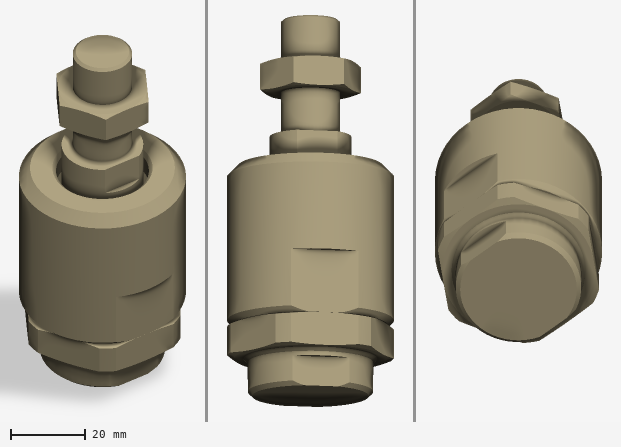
import cadquery as cq
import math


NUT_BEVEL_SLOPE = math.tan(math.radians(15))

SOCKET_LOWER_DIA = 33.8
THREAD_DIA = 36
SOCKET_BOTTOM_CHAMFER = 1.2
SOCKET_LOWER_HEIGHT = 9.2
SOCKET_FLATS_WIDTH = 30
SOCKET_FLATS_HEIGHT = 8

LOCK_NUT_BOTTOM = 10.2
LOCK_NUT_HEIGHT = 9
LOCK_NUT_WIDTH = 41
LOCK_NUT_CORNER_DIA = 45

HOUSING_DIA = LOCK_NUT_CORNER_DIA
HOUSING_BOTTOM = LOCK_NUT_BOTTOM + LOCK_NUT_HEIGHT
HOUSING_TOP = 63
HOUSING_TOP_CHAMFER = 3
HOUSING_BOTTOM_CHAMFER = 1.5
HOUSING_FLATS_WIDTH = LOCK_NUT_WIDTH
HOUSING_FLATS_TOP = 36.2
OPENING_DIA = 25
OPENING_CHAMFER = 1

FLANGE_DIA = 32
FLANGE_TOP = 57
FLANGE_THICKNESS = 8
FLANGE_BOTTOM = FLANGE_TOP - FLANGE_THICKNESS
COLLAR_DIA = 22
COLLAR_TOP = 71
COLLAR_FLATS_WIDTH = 19
COLLAR_FLATS_BOTTOM = HOUSING_TOP
SHANK_DIA = 16
SHANK_TOP = 103
SHANK_TIP_DIA = 14.38
SHANK_TIP_HEIGHT = 0.7
SHANK_ROOT_FILLET = 0.6

HEX_NUT_BOTTOM = 83
HEX_NUT_HEIGHT = 8
HEX_NUT_WIDTH = 24
HEX_NUT_CORNER_DIA = HEX_NUT_WIDTH / math.cos(math.radians(30))


def cylinder(diameter, bottom, top):
    return cq.Workplane("XY").workplane(offset=bottom).circle(diameter / 2).extrude(top - bottom)


def revolve_outline(points):
    """Turn an outline of (radius, z) points around the Z axis."""
    return cq.Workplane("XZ").polyline(points).close().revolve(360, (0, 0), (0, 1))


def cut_side_flats(body, width, bottom, top):
    """Cut flats on the -X and +X sides, leaving the given width between them."""
    band = cylinder(2 * width, bottom, top)
    keep = cq.Workplane("XY").workplane(offset=bottom).rect(width, 4 * width).extrude(top - bottom)
    return body.cut(band.cut(keep))


def make_nut(width, corner_dia, bore_dia, bottom, height):
    """Hexagon nut with flats facing -X and +X and both faces bevelled at the corners."""
    top = bottom + height
    face_radius = width / 2
    corner_radius = corner_dia / 2
    bevel_height = (corner_radius - face_radius) * NUT_BEVEL_SLOPE
    hexagon = (
        cq.Workplane("XY")
        .workplane(offset=bottom)
        .polygon(6, width, circumscribed=True)
        .extrude(height)
    )
    bevelled_blank = revolve_outline([
        (0, bottom),
        (face_radius, bottom),
        (corner_radius, bottom + bevel_height),
        (corner_radius, top - bevel_height),
        (face_radius, top),
        (0, top),
    ])
    return hexagon.intersect(bevelled_blank).cut(cylinder(bore_dia, bottom, top))


def make_socket():
    lower_radius = SOCKET_LOWER_DIA / 2
    thread_radius = THREAD_DIA / 2
    body = revolve_outline([
        (0, 0),
        (lower_radius - SOCKET_BOTTOM_CHAMFER, 0),
        (lower_radius, SOCKET_BOTTOM_CHAMFER),
        (lower_radius, SOCKET_LOWER_HEIGHT),
        (thread_radius, SOCKET_LOWER_HEIGHT + thread_radius - lower_radius),
        (thread_radius, FLANGE_BOTTOM),
        (0, FLANGE_BOTTOM),
    ])
    return cut_side_flats(body, SOCKET_FLATS_WIDTH, 0, SOCKET_FLATS_HEIGHT)


def make_housing():
    body = (
        cylinder(HOUSING_DIA, HOUSING_BOTTOM, HOUSING_TOP)
        .faces(">Z").chamfer(HOUSING_TOP_CHAMFER)
        .faces("<Z").chamfer(HOUSING_BOTTOM_CHAMFER)
    )
    body = cut_side_flats(body, HOUSING_FLATS_WIDTH, HOUSING_BOTTOM, HOUSING_FLATS_TOP)
    body = body.cut(cylinder(THREAD_DIA, HOUSING_BOTTOM, FLANGE_TOP))
    body = body.cut(cylinder(OPENING_DIA, FLANGE_TOP, HOUSING_TOP))
    opening_edge = body.faces(">Z").edges(cq.selectors.RadiusNthSelector(0))
    return opening_edge.chamfer(OPENING_CHAMFER)


def make_stud():
    shank_radius = SHANK_DIA / 2
    profile = (
        cq.Workplane("XZ")
        .moveTo(0, FLANGE_BOTTOM)
        .lineTo(FLANGE_DIA / 2, FLANGE_BOTTOM)
        .lineTo(FLANGE_DIA / 2, FLANGE_TOP)
        .lineTo(COLLAR_DIA / 2, FLANGE_TOP)
        .lineTo(COLLAR_DIA / 2, COLLAR_TOP)
        .lineTo(shank_radius + SHANK_ROOT_FILLET, COLLAR_TOP)
        .radiusArc((shank_radius, COLLAR_TOP + SHANK_ROOT_FILLET), SHANK_ROOT_FILLET)
        .lineTo(shank_radius, SHANK_TOP - SHANK_TIP_HEIGHT)
        .lineTo(SHANK_TIP_DIA / 2, SHANK_TOP)
        .lineTo(0, SHANK_TOP)
        .close()
    )
    body = profile.revolve(360, (0, 0), (0, 1))
    return cut_side_flats(body, COLLAR_FLATS_WIDTH, COLLAR_FLATS_BOTTOM, COLLAR_TOP)


socket = make_socket()
lock_nut = make_nut(LOCK_NUT_WIDTH, LOCK_NUT_CORNER_DIA, THREAD_DIA, LOCK_NUT_BOTTOM, LOCK_NUT_HEIGHT)
housing = make_housing()
stud = make_stud()
hex_nut = make_nut(HEX_NUT_WIDTH, HEX_NUT_CORNER_DIA, SHANK_DIA, HEX_NUT_BOTTOM, HEX_NUT_HEIGHT)

result = cq.Compound.makeCompound([
    socket.val(),
    lock_nut.val(),
    housing.val(),
    stud.val(),
    hex_nut.val(),
])